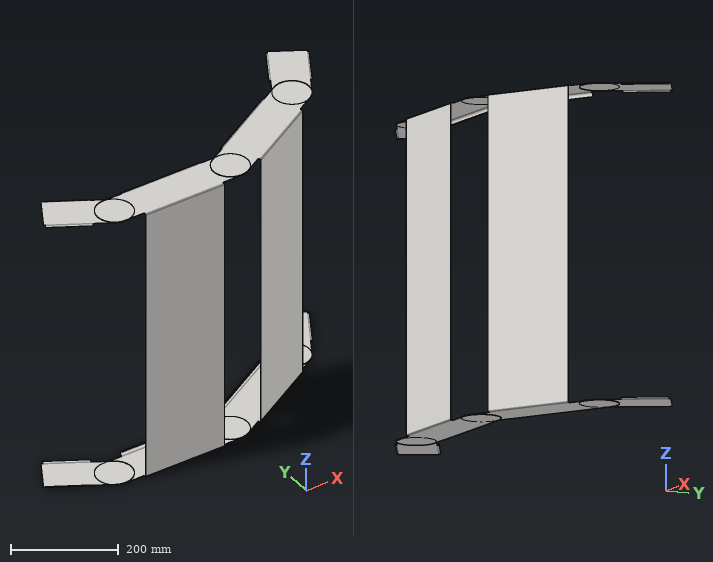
import cadquery as cq
import math

sheet = 1.0
half_width = 37.0

frame_height = 600.0
joint_spacing = 258.5
panel_length = 176.0
panel_start = (joint_spacing - panel_length) / 2
panel_offset = 6.0
fold_radius = 2.0
hem_radius = 5.4

link_length = 134.0
link_bend_length = 89.0
link_bend_radius = 3.5
link_bend_inset = 3.5

left_base = 0.0
right_base = sheet

turn = 30.0

left_joint = (0.0, 0.0)
middle_joint = (joint_spacing, 0.0)
right_joint = (
    joint_spacing * (1 + math.cos(math.radians(turn))),
    joint_spacing * math.sin(math.radians(turn)),
)


def box(x_start, x_end, y_start, y_end, z_start, z_end):
    """Box between two opposite corners."""
    size = (x_end - x_start, y_end - y_start, z_end - z_start)
    return cq.Workplane("XY").box(*size, centered=False).translate((x_start, y_start, z_start))


def disc():
    """Round plate end, centred on its joint axis."""
    return cq.Workplane("XY").circle(half_width).extrude(sheet)


def edge_bend(x_start, length, edge, radius):
    """Quarter-round bend up from a plate edge at y = edge; the plate's underside is at z = 0."""
    inner_radius = radius - sheet
    diagonal = math.sqrt(0.5)
    return (
        cq.Workplane("YZ")
        .moveTo(edge, 0)
        .threePointArc((edge + radius * diagonal, radius - radius * diagonal), (edge + radius, radius))
        .lineTo(edge + inner_radius, radius)
        .threePointArc(
            (edge + inner_radius * diagonal, radius - inner_radius * diagonal),
            (edge, sheet),
        )
        .close()
        .extrude(length)
        .translate((x_start, 0, 0))
    )


def hem(x_start, length):
    """Half-round curl along the +Y edge of a plate, ending above that edge."""
    lower_half = edge_bend(x_start, length, half_width, hem_radius)
    upper_half = lower_half.mirror("XY").translate((0, 0, 2 * hem_radius))
    return lower_half.union(upper_half)


def frame_plate():
    """Lower plate of a frame, with round ends, a rear hem and a front strip folding up into the panel."""
    fold_edge = half_width + panel_offset - fold_radius
    plate = box(0, joint_spacing, -half_width, half_width, 0, sheet)
    plate = plate.union(disc()).union(disc().translate((joint_spacing, 0, 0)))
    plate = plate.union(box(panel_start, panel_start + panel_length, -fold_edge, 0, 0, sheet))
    plate = plate.union(edge_bend(panel_start, panel_length, fold_edge, fold_radius).mirror("XZ"))
    return plate.union(hem(panel_start, panel_length))


def frame():
    """One frame, along +X from its first joint axis, standing on z = 0."""
    panel_face = -half_width - panel_offset
    panel = box(
        panel_start, panel_start + panel_length,
        panel_face, panel_face + sheet,
        fold_radius, frame_height - fold_radius,
    )
    lower_plate = frame_plate()
    upper_plate = lower_plate.mirror("XY").translate((0, 0, frame_height))
    return panel.union(lower_plate).union(upper_plate)


def end_link():
    """Lower end link, along +X from its joint axis, lying on z = 0."""
    bend_start = link_length - link_bend_inset - link_bend_length
    plate = box(0, link_length, -half_width, half_width, 0, sheet).union(disc())
    side_bend = edge_bend(bend_start, link_bend_length, half_width, link_bend_radius)
    return plate.union(side_bend).union(side_bend.mirror("XZ"))


def end_link_pair(joint, direction, frame_base):
    """Lower and upper end link, lying against the inner faces of a frame that stands on frame_base."""
    lower = end_link().translate((0, 0, sheet))
    upper = lower.mirror("XY").translate((0, 0, frame_height))
    return [
        link.rotate((0, 0, 0), (0, 0, 1), direction).translate((*joint, frame_base)).val()
        for link in (lower, upper)
    ]


left_frame = frame().translate((*left_joint, left_base))
right_frame = frame().rotate((0, 0, 0), (0, 0, 1), turn).translate((*middle_joint, right_base))
left_links = end_link_pair(left_joint, 180 - turn, left_base)
right_links = end_link_pair(right_joint, 2 * turn, right_base)

result = cq.Compound.makeCompound([left_frame.val(), right_frame.val(), *left_links, *right_links])